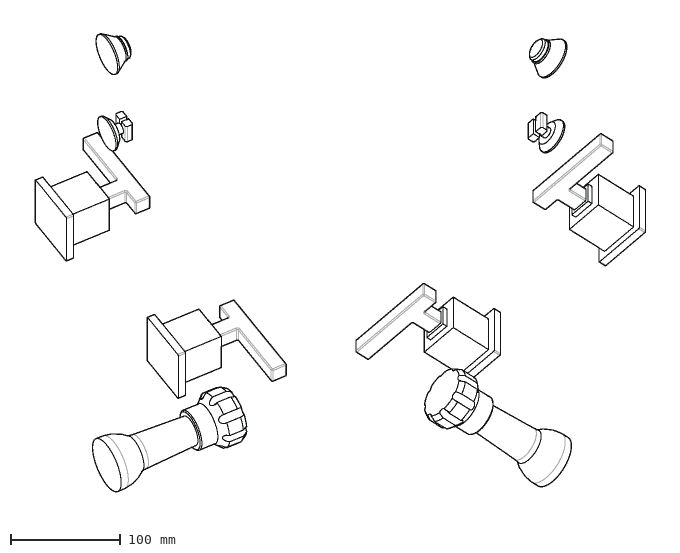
import cadquery as cq


OVERALL_HEIGHT = 580.5

HANDLE_X = 101.5
PLATE_WIDTH = 57.0
PLATE_DEPTH = 7.5
PLATE_CORNER_RADIUS = 1.0
BLOCK_WIDTH = 40.5
BLOCK_BACK = 50.0
COLLAR_WIDTH = 22.5
COLLAR_BACK = 54.5
LEVER_FRONT = 74.5
LEVER_BACK = 90.0
LEVER_OUTER_X = 172.0
LEVER_INNER_X = 76.0
LEVER_HEIGHT = 15.5
LEVER_EDGE_RADIUS = 1.0
STEM_WIDTH = 17.0

DIAL_Z = -229.0
RIM_RADIUS = 26.0
RIM_DEPTH = 7.5
WAIST_FRONT = 29.0
WAIST_RADIUS = 17.5
BELL_MIDDLE_Y = 20.0
BELL_MIDDLE_RADIUS = 23.0
NECK_FRONT = 34.0
NECK_FRONT_RADIUS = 17.0
NECK_BACK = 87.5
NECK_BACK_RADIUS = 14.5
RING_BACK = 105.5
RING_RADIUS = 20.0
RING_BEVEL = 1.0
HEAD_RADIUS = 27.0
HEAD_FRONT = 114.0
HEAD_BACK = 128.5
HEAD_BEVEL_BACK = 133.5
HEAD_BEVEL_RADIUS = 24.5
DIAL_BACK = 136.0
FLUTE_COUNT = 8
FLUTE_RADIUS = 4.0
FLUTE_CENTER_RADIUS = 26.5
FLUTE_CORNER_REACH = (
    (HEAD_RADIUS**2 + FLUTE_CENTER_RADIUS**2 - FLUTE_RADIUS**2) / (2 * FLUTE_CENTER_RADIUS)
)

BUTTON_RADIUS = 20.0
BUTTON_Z = OVERALL_HEIGHT + DIAL_Z - FLUTE_CORNER_REACH - BUTTON_RADIUS
BUTTON_RIM = 2.0
BUTTON_CONE_BACK = 13.5
BUTTON_LIP_RADIUS = 12.0
BUTTON_LIP_BACK = 15.0
BUTTON_PLUG_RADIUS = 11.0
BUTTON_BACK = 20.5
BUTTON_BEVEL = 2.0

KNOB_Z = 202.0
KNOB_RADIUS = 17.0
KNOB_RIM = 2.0
KNOB_CONE_BACK = 7.0
KNOB_CONE_RADIUS = 11.5
KNOB_STEM_RADIUS = 5.0
KNOB_HEAD_FRONT = 14.5
KNOB_HEAD_WIDTH = 20.0
KNOB_BACK = 22.0
KNOB_HEAD_EDGE_RADIUS = 2.0
KNOB_SLOT_WIDTH = 3.5


def box_between(x_range, y_range, height):
    """A box centred on Z = 0."""
    x_low, x_high = sorted(x_range)
    y_low, y_high = y_range
    size = (x_high - x_low, y_high - y_low, height)
    corner = (x_low, y_low, -height / 2)
    return cq.Workplane("XY").box(*size, centered=False).translate(corner)


def square_post(width, front, back, x_middle=0):
    """A square post along Y."""
    half = width / 2
    return box_between((x_middle - half, x_middle + half), (front, back), width)


def revolve_about_y(profile):
    """A closed half profile turned about the Y axis."""
    return profile.close().revolve(360, (0, 0, 0), (0, 1, 0))


def make_handle(side):
    """A square-based lever handle; side is -1 for left and 1 for right."""
    x = side * HANDLE_X
    lever_x = (side * LEVER_INNER_X, side * LEVER_OUTER_X)
    lever = box_between(lever_x, (LEVER_FRONT, LEVER_BACK), LEVER_HEIGHT)
    stem = box_between((x - STEM_WIDTH / 2, x + STEM_WIDTH / 2), (COLLAR_BACK, LEVER_BACK), LEVER_HEIGHT)
    grip = lever.union(stem).edges("not(<Y)").fillet(LEVER_EDGE_RADIUS)
    plate = square_post(PLATE_WIDTH, 0, PLATE_DEPTH, x).edges("|Y").fillet(PLATE_CORNER_RADIUS)
    block = square_post(BLOCK_WIDTH, 0, BLOCK_BACK, x)
    collar = square_post(COLLAR_WIDTH, BLOCK_BACK, COLLAR_BACK, x)
    return plate.union(block).union(collar).union(grip)


def make_dial():
    """A bell foot, a tapered neck and a fluted head."""
    profile = (
        cq.Workplane("XY")
        .lineTo(-RIM_RADIUS, 0)
        .lineTo(-RIM_RADIUS, RIM_DEPTH)
        .threePointArc((-BELL_MIDDLE_RADIUS, BELL_MIDDLE_Y), (-WAIST_RADIUS, WAIST_FRONT))
        .lineTo(-NECK_FRONT_RADIUS, NECK_FRONT)
        .lineTo(-NECK_BACK_RADIUS, NECK_BACK)
        .lineTo(-RING_RADIUS + RING_BEVEL, NECK_BACK)
        .lineTo(-RING_RADIUS, NECK_BACK + RING_BEVEL)
        .lineTo(-RING_RADIUS, RING_BACK)
        .lineTo(-HEAD_RADIUS, HEAD_FRONT)
        .lineTo(-HEAD_RADIUS, HEAD_BACK)
        .lineTo(-HEAD_BEVEL_RADIUS, HEAD_BEVEL_BACK)
        .lineTo(0, DIAL_BACK)
    )
    dial = revolve_about_y(profile)
    flutes = (
        cq.Workplane("XZ", origin=(0, RING_BACK, 0))
        .polarArray(FLUTE_CENTER_RADIUS, 0, 360, FLUTE_COUNT)
        .circle(FLUTE_RADIUS)
        .extrude(RING_BACK - DIAL_BACK)
    )
    return dial.cut(flutes).translate((0, 0, DIAL_Z))


def make_button():
    """A flared button with a short plug at the back."""
    profile = (
        cq.Workplane("XY")
        .lineTo(-BUTTON_RADIUS, 0)
        .lineTo(-BUTTON_RADIUS, BUTTON_RIM)
        .lineTo(-BUTTON_LIP_RADIUS, BUTTON_CONE_BACK)
        .lineTo(-BUTTON_LIP_RADIUS, BUTTON_LIP_BACK)
        .lineTo(-BUTTON_PLUG_RADIUS, BUTTON_LIP_BACK)
        .lineTo(-BUTTON_PLUG_RADIUS, BUTTON_BACK - BUTTON_BEVEL)
        .lineTo(-BUTTON_PLUG_RADIUS + BUTTON_BEVEL, BUTTON_BACK)
        .lineTo(0, BUTTON_BACK)
    )
    return revolve_about_y(profile).translate((0, 0, BUTTON_Z))


def make_knob_head():
    """A square head split into a left and a right prong by a slot."""
    head = square_post(KNOB_HEAD_WIDTH, KNOB_HEAD_FRONT, KNOB_BACK)
    head = head.edges("|Z").fillet(KNOB_HEAD_EDGE_RADIUS)
    half_slot = KNOB_SLOT_WIDTH / 2
    slot = box_between((-half_slot, half_slot), (KNOB_HEAD_FRONT, KNOB_BACK), KNOB_HEAD_WIDTH)
    return head.cut(slot)


def make_knob():
    """A flared disc on a stem, with a slotted head at the back."""
    profile = (
        cq.Workplane("XY")
        .lineTo(-KNOB_RADIUS, 0)
        .lineTo(-KNOB_RADIUS, KNOB_RIM)
        .lineTo(-KNOB_CONE_RADIUS, KNOB_CONE_BACK)
        .lineTo(-KNOB_STEM_RADIUS, KNOB_CONE_BACK)
        .lineTo(-KNOB_STEM_RADIUS, KNOB_HEAD_FRONT)
        .lineTo(0, KNOB_HEAD_FRONT)
    )
    return revolve_about_y(profile).union(make_knob_head()).translate((0, 0, KNOB_Z))


handles = [make_handle(side) for side in (-1, 1)]
dial = make_dial()
button = make_button()
knob = make_knob()

result = cq.Compound.makeCompound(
    [
        *[handle.val() for handle in handles],
        dial.val(),
        button.val(),
        knob.val(),
    ]
)